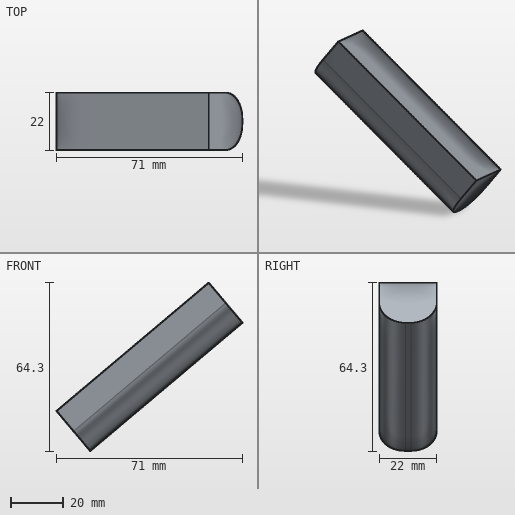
import cadquery as cq

length = 76.0
width = 22.0
height = 20.0
edge_radius = 10.0
tilt_angle = 40.12


def make_bar():
    """Straight bar along X with both long lower edges rounded."""
    bar = cq.Workplane("XY").box(length, width, height)
    return bar.faces("<Z").edges("|X").fillet(edge_radius)


def tilt(bar):
    """Raise the +X end by turning the bar about the Y axis."""
    return bar.rotate((0, 0, 0), (0, 1, 0), -tilt_angle)


result = tilt(make_bar())